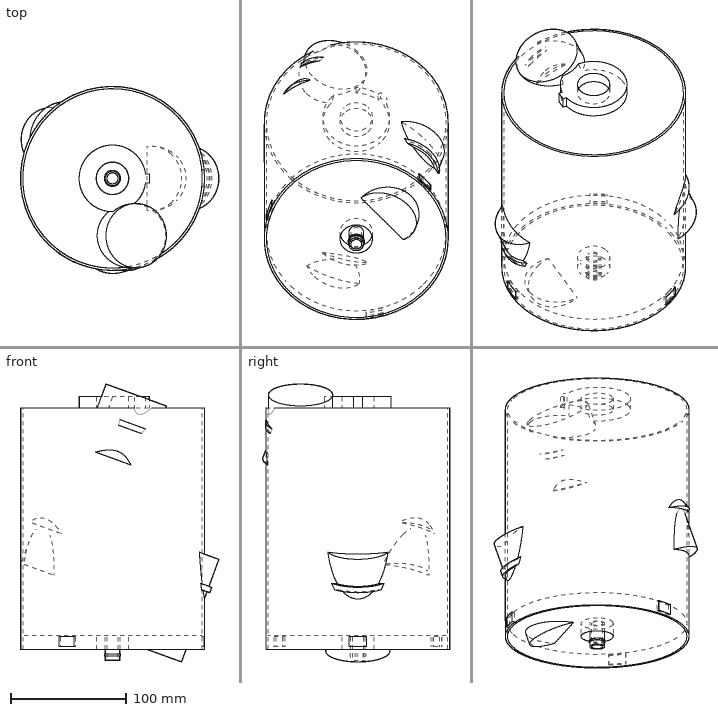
import cadquery as cq
import math

drum_radius = 160.0 / 2
bore_radius = 156.0 / 2
drum_height = 210.0

plate_thickness = 12.0
tab_count = 3
tab_width = 15.0
tab_bottom = 2.5
tab_height = 9.0

collar_radius = 58.0 / 2
collar_height = 10.0
key_width = 8.0
key_reach = 32.0
passage_radius = 28.0 / 2

pod_count = 3
pod_radius = 56.0 / 2
pod_length = 95.0
pod_tilt = 20.0
pod_orbit = 50.0
pod_turn = 137.5
pod_spacing = 200.0 / pod_count
pod_mid_height = (drum_height + collar_height) / 2
band_radius = 30.5
band_bottom = 17.5
band_height = 5.0
flange_radius = 33.0
flange_bottom = -11.3
flange_height = 12.5

tube_radius = 12.7 / 2
tube_bore_radius = 9.53 / 2
tube_bottom = -9.5
tube_top = plate_thickness
clip_radius = 14.0 / 2
clip_bottom = -5.5
clip_thickness = 1.6

cut_margin = 20.0


def cylinder(radius, bottom, top):
    """A cylinder on the drum axis."""
    return cq.Workplane("XY").workplane(offset=bottom).circle(radius).extrude(top - bottom)


def radial_block(reach, width, bottom, height):
    """A block that runs from the drum axis out along +X."""
    block = cq.Workplane("XY").box(reach, width, height, centered=(False, True, False))
    return block.translate((0, 0, bottom))


def pod(index):
    """A tilted can with a straight band above its middle and a tapered flange below."""
    half_length = pod_length / 2
    flange_top = flange_bottom + flange_height
    band_top = band_bottom + band_height
    profile = [
        (0, -half_length),
        (pod_radius, -half_length),
        (pod_radius, flange_bottom),
        (flange_radius, flange_bottom),
        (pod_radius, flange_top),
        (pod_radius, band_bottom),
        (band_radius, band_bottom),
        (band_radius, band_top),
        (pod_radius, band_top),
        (pod_radius, half_length),
        (0, half_length),
    ]
    can = cq.Workplane("XZ").polyline(profile).close().revolve(360, (0, 0, 0), (0, 1, 0))
    turn = math.radians(index * pod_turn)
    height = pod_mid_height + (index - (pod_count - 1) / 2) * pod_spacing
    centre = (pod_orbit * math.cos(turn), pod_orbit * math.sin(turn), height)
    return can.rotate((0, 0, 0), (0, 1, 0), pod_tilt).translate(centre)


def tab(index):
    """A block whose flat outer end touches the outside of the drum."""
    block = radial_block(drum_radius, tab_width, tab_bottom, tab_height)
    return block.rotate((0, 0, 0), (0, 0, 1), index * 360 / tab_count)


def build_drum(pods, tabs, passage):
    """The wall with the pod parts outside its bore, and the collar joined to the highest pod."""
    drum = cylinder(drum_radius, 0, drum_height)
    for can in pods:
        drum = drum.union(can)
    drum = drum.cut(cylinder(drum_radius, -cut_margin, 0))
    drum = drum.cut(cylinder(bore_radius, 0, drum_height))
    collar = cylinder(collar_radius, drum_height, drum_height + collar_height)
    key = radial_block(key_reach, key_width, drum_height, collar_height)
    drum = drum.union(collar).union(key).cut(passage)
    for block in tabs:
        drum = drum.cut(block)
    return drum


def build_base_plate(lowest_pod, tabs, passage):
    """A disc in the bottom of the bore, with its tabs and the foot of the lowest pod."""
    plate = cylinder(bore_radius, 0, plate_thickness)
    for block in tabs:
        plate = plate.union(block)
    foot = lowest_pod.intersect(cylinder(bore_radius, -cut_margin, plate_thickness))
    return plate.union(foot).cut(passage)


def build_tube():
    """The centre tube with its clip ring."""
    clip = cylinder(clip_radius, clip_bottom, clip_bottom + clip_thickness)
    bore = cylinder(tube_bore_radius, tube_bottom, tube_top)
    return cylinder(tube_radius, tube_bottom, tube_top).union(clip).cut(bore)


pods = [pod(index) for index in range(pod_count)]
tabs = [tab(index) for index in range(tab_count)]
passage = cylinder(passage_radius, -cut_margin, drum_height + cut_margin)

drum = build_drum(pods, tabs, passage)
base_plate = build_base_plate(pods[0], tabs, passage)
tube = build_tube()

bodies = [drum, base_plate, tube]
result = cq.Compound.makeCompound([body.solids().val() for body in bodies])